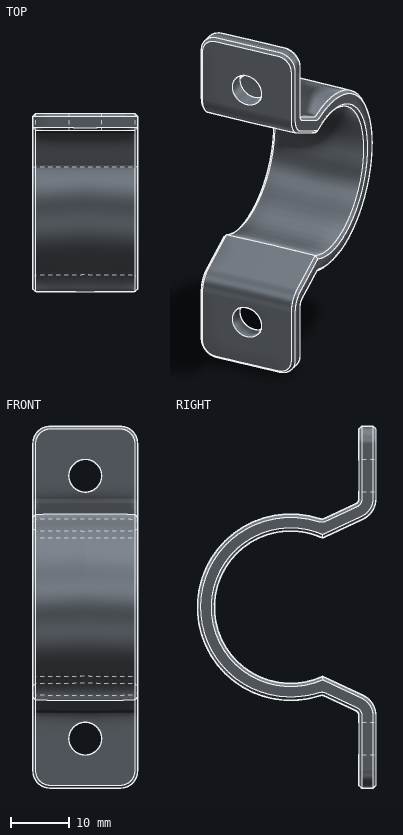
import cadquery as cq
import math

width = 18.0
depth = 30.6
height = 62.0
thickness = 3.0
draft_angle = 0.5

outer_radius = 16.0
inner_radius = outer_radius - thickness
axis_y = outer_radius - depth

hole_diameter = 5.6
hole_spacing = 45.0
corner_radius = 3.0
edge_chamfer = 0.5
ramp_angle = math.radians(25)
bend_height = 18.0
inside_bend_radius = 1.0
valley_radius = 1.0
outside_bend_radius = inside_bend_radius + thickness

bend_shift = math.tan((math.pi / 2 - ramp_angle) / 2)
back_bend_height = bend_height - thickness * bend_shift
side_draft = width / 2 * math.tan(math.radians(draft_angle))

tolerance = 0.005


def ramp_end(start_y, start_z, radius):
    """Point where a ramp running towards -Y and the axis meets the round part."""
    slope = math.tan(ramp_angle)
    height_at_axis = start_z + slope * (axis_y - start_y)
    normal_distance = height_at_axis * math.cos(ramp_angle)
    along_ramp = math.sqrt(radius**2 - normal_distance**2)
    end_y = axis_y - normal_distance * math.sin(ramp_angle) + along_ramp * math.cos(ramp_angle)
    end_z = start_z + slope * (end_y - start_y)
    return end_y, end_z


def add_profile(work, draft):
    """Draw the closed strap section with its faces moved in by draft.

    The backs of the feet and the ends of the strap have no draft.
    """
    local_thickness = thickness - draft
    top = height / 2
    front_radius = outer_radius - draft
    back_radius = inner_radius + draft
    front_bend = back_bend_height + local_thickness * bend_shift
    back_bend = back_bend_height + draft / math.cos(ramp_angle)
    front_y, front_z = ramp_end(-local_thickness, front_bend, front_radius)
    back_y, back_z = ramp_end(0, back_bend, back_radius)
    return (
        work.moveTo(0, top)
        .lineTo(-local_thickness, top)
        .lineTo(-local_thickness, front_bend)
        .lineTo(front_y, front_z)
        .threePointArc((axis_y - front_radius, 0), (front_y, -front_z))
        .lineTo(-local_thickness, -front_bend)
        .lineTo(-local_thickness, -top)
        .lineTo(0, -top)
        .lineTo(0, -back_bend)
        .lineTo(back_y, -back_z)
        .threePointArc((axis_y - back_radius, 0), (back_y, back_z))
        .lineTo(0, back_bend)
        .close()
    )


def half_strap(side):
    """Strap from the middle plane to one side, thinning towards that side."""
    middle = add_profile(cq.Workplane("YZ"), 0)
    return add_profile(middle.workplane(offset=side * width / 2), side_draft).loft(ruled=True)


def edges_at_height(work, z, on_back):
    """Bend edges near height z on either side of a foot, on the back or on the front."""
    chosen = []
    for edge in work.edges().vals():
        box = edge.BoundingBox()
        runs_across = box.xlen > width / 2 - edge_chamfer
        near_height = abs(abs(edge.Center().z) - z) < side_draft
        if runs_across and near_height and (box.ymax > -tolerance) == on_back:
            chosen.append(edge)
    return work.newObject(chosen)


def rim_edges(work):
    """Edges around the front and back faces, along the sides, corners and ends of the strap."""
    chosen = []
    for edge in work.edges().vals():
        box = edge.BoundingBox()
        on_side = max(abs(box.xmin), abs(box.xmax)) > width / 2 - tolerance and box.xlen < tolerance
        on_foot_end = min(abs(box.zmin), abs(box.zmax)) > height / 2 - corner_radius - tolerance
        through_thickness = box.xlen < tolerance and box.zlen < tolerance
        on_middle = max(abs(box.xmin), abs(box.xmax)) < tolerance
        if (on_side or on_foot_end) and not through_thickness and not on_middle:
            chosen.append(edge)
    return work.newObject(chosen)


def bend_fillets(half):
    half = edges_at_height(half, bend_height, False).fillet(inside_bend_radius)
    valley_height = ramp_end(-thickness, bend_height, outer_radius)[1]
    half = edges_at_height(half, valley_height, False).fillet(valley_radius)
    return edges_at_height(half, back_bend_height, True).fillet(outside_bend_radius)


def finished_half(side):
    half = bend_fillets(half_strap(side))
    side_face = ">X" if side > 0 else "<X"
    half = half.faces(side_face).edges(">Z or <Z").fillet(corner_radius)
    return rim_edges(half).chamfer(edge_chamfer)


strap = finished_half(1).union(finished_half(-1))

holes = (
    cq.Workplane("XZ")
    .pushPoints([(0, hole_spacing / 2), (0, -hole_spacing / 2)])
    .circle(hole_diameter / 2)
    .extrude(thickness)
)

result = strap.cut(holes)